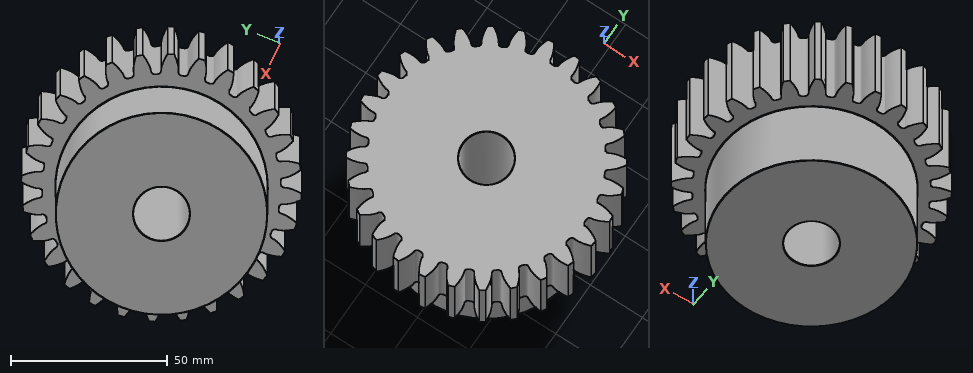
import cadquery as cq
import math

OVERALL_WIDTH = 89.65
TEETH = 28
PRESSURE_ANGLE = math.radians(20)
ADDENDUM = 1.0
DEDENDUM = 1.25
ROOT_FILLET = 1.2
FACE_WIDTH = 30.0
HUB_LENGTH = 28.0
HUB_DIAMETER = 67.95
BORE_DIAMETER = 18.0
EDGE_BREAK = 0.2
FLANK_STEPS = 6

TOTAL_HEIGHT = HUB_LENGTH + FACE_WIDTH


def involute(angle):
    return math.tan(angle) - angle


pitch_step = 2 * math.pi / TEETH
base_half_angle = pitch_step / 4 + involute(PRESSURE_ANGLE)
tip_to_pitch = 1 + 2 * ADDENDUM / TEETH
tip_pressure_angle = math.acos(math.cos(PRESSURE_ANGLE) / tip_to_pitch)
tip_half_angle = base_half_angle - involute(tip_pressure_angle)
tip_radius = OVERALL_WIDTH / 2 / math.cos(pitch_step / 2 - tip_half_angle)
pitch_radius = tip_radius / tip_to_pitch
module = 2 * pitch_radius / TEETH
base_radius = pitch_radius * math.cos(PRESSURE_ANGLE)
root_radius = pitch_radius - DEDENDUM * module


def polar(radius, angle):
    return radius * math.cos(angle), radius * math.sin(angle)


def flank_points(center_angle, side):
    """Points up one involute flank, from the base circle to the tip."""
    points = []
    for step in range(FLANK_STEPS + 1):
        radius = base_radius + (tip_radius - base_radius) * step / FLANK_STEPS
        half_angle = base_half_angle - involute(math.acos(base_radius / radius))
        points.append(polar(radius, center_angle + side * half_angle))
    return points


def gear_outline():
    """Closed outline: radial foot, flank, tip arc, flank, foot and root arc per tooth."""
    outline = cq.Workplane("XY").workplane(offset=HUB_LENGTH)
    outline = outline.moveTo(*polar(root_radius, pitch_step / 2 - base_half_angle))
    for tooth in range(TEETH):
        center = (tooth + 0.5) * pitch_step
        rising = flank_points(center, -1)
        falling = flank_points(center, 1)[::-1]
        outline = outline.lineTo(*rising[0])
        outline = outline.spline(rising[1:], includeCurrent=True)
        outline = outline.threePointArc(polar(tip_radius, center), falling[0])
        outline = outline.spline(falling[1:], includeCurrent=True)
        outline = outline.lineTo(*polar(root_radius, center + base_half_angle))
        outline = outline.threePointArc(
            polar(root_radius, center + pitch_step / 2),
            polar(root_radius, center + pitch_step - base_half_angle),
        )
    return outline.close()


def make_gear():
    """Toothed rim with rounded tooth roots."""
    gear = gear_outline().extrude(FACE_WIDTH)
    inside_base_circle = (base_radius + root_radius) / 2
    root_edges = gear.edges("|Z").filter(
        lambda edge: math.hypot(edge.Center().x, edge.Center().y) < inside_base_circle
    )
    return root_edges.fillet(ROOT_FILLET)


def revolve_profile(points):
    """Solid of revolution about Z from (radius, height) points."""
    return cq.Workplane("XZ").polyline(points).close().revolve(360, (0, 0, 0), (0, 1, 0))


def make_hub():
    """Hub chamfered at its free end and flared slightly where it meets the gear."""
    radius = HUB_DIAMETER / 2
    return revolve_profile([
        (0, 0),
        (radius - EDGE_BREAK, 0),
        (radius, EDGE_BREAK),
        (radius, HUB_LENGTH - EDGE_BREAK),
        (radius + EDGE_BREAK, HUB_LENGTH),
        (0, HUB_LENGTH),
    ])


def make_bore():
    """Through bore, chamfered at both mouths."""
    radius = BORE_DIAMETER / 2
    return revolve_profile([
        (0, 0),
        (radius + EDGE_BREAK, 0),
        (radius, EDGE_BREAK),
        (radius, TOTAL_HEIGHT - EDGE_BREAK),
        (radius + EDGE_BREAK, TOTAL_HEIGHT),
        (0, TOTAL_HEIGHT),
    ])


result = make_gear().union(make_hub()).cut(make_bore())